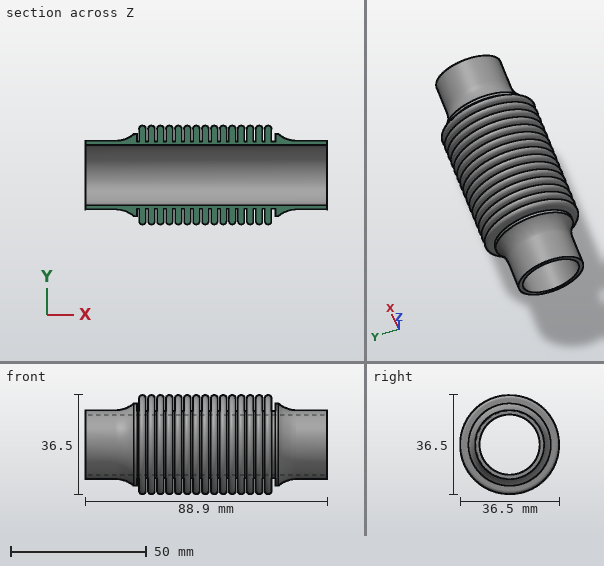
import cadquery as cq

length = 88.9
bore_diameter = 22.05

cuff_diameter = 25.4
cuff_length = 11.4
rim_diameter = 30.3
rim_width = 1.2
flare_length = 6.5

core_diameter = 24.9
fold_diameter = 36.5
fold_width = 2.6
fold_count = 15
bellows_start = 19.7
bellows_length = 48.8
fold_pitch = (bellows_length - fold_width) / (fold_count - 1)


def make_cylinder(diameter):
    """Cylinder along X over the full length of the tube."""
    return cq.Workplane("YZ").circle(diameter / 2).extrude(length)


def revolve_about_x(profile):
    """Close a half profile and turn it around the tube axis."""
    return profile.close().revolve(360, (0, 0, 0), (1, 0, 0))


def make_left_cuff():
    """Pipe end with an arc flare that leaves the pipe tangentially."""
    cuff_radius = cuff_diameter / 2
    rim_radius = rim_diameter / 2
    rim_start = cuff_length + flare_length
    rim_end = rim_start + rim_width
    profile = (
        cq.Workplane("XY")
        .lineTo(0, cuff_radius)
        .lineTo(cuff_length, cuff_radius)
        .tangentArcPoint((rim_start, rim_radius), relative=False)
        .lineTo(rim_end, rim_radius)
        .lineTo(rim_end, 0)
    )
    return revolve_about_x(profile)


def make_fold(left):
    """Flat-sided disc with a fully rounded outer edge."""
    right = left + fold_width
    edge_radius = fold_width / 2
    outer_radius = fold_diameter / 2
    shoulder_radius = outer_radius - edge_radius
    profile = (
        cq.Workplane("XY")
        .moveTo(left, 0)
        .lineTo(left, shoulder_radius)
        .threePointArc((left + edge_radius, outer_radius), (right, shoulder_radius))
        .lineTo(right, 0)
    )
    return revolve_about_x(profile)


left_cuff = make_left_cuff()
right_cuff = left_cuff.mirror("YZ").translate((length, 0, 0))
body = make_cylinder(core_diameter).union(left_cuff).union(right_cuff)

for index in range(fold_count):
    body = body.union(make_fold(bellows_start + index * fold_pitch))

result = body.cut(make_cylinder(bore_diameter))